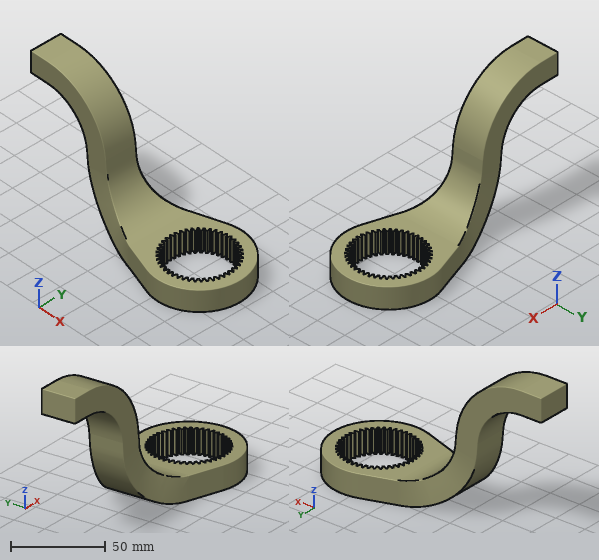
import cadquery as cq
import math

overall_length = 151.0
overall_height = 90.0
ring_diameter = 62.0
bar_width = 22.0
end_length = 13.7
bend_lean = 5.2
edge_rounding = 0.5
tooth_count = 44
module = 1.0
pressure_angle = math.radians(20)

flare_start = 10.0
flare_blend_end = 65.0
flare_end = 90.0

outer_radius = overall_height / 2
thickness = outer_radius / 3
inner_radius = 2 * thickness
middle_radius = outer_radius - thickness / 2
axis_height = outer_radius
axis_spacing = 2 * middle_radius / math.cos(math.radians(bend_lean))
upper_axis_x = end_length
lower_axis_x = upper_axis_x + axis_spacing

ring_radius = ring_diameter / 2
ring_x = overall_length - ring_radius
half_bar = bar_width / 2
flat_blend = middle_radius * math.radians(flare_blend_end - flare_start)
flat_taper = middle_radius * math.radians(flare_end - flare_blend_end)


def plate_half_width(taper):
    """Half width of the ring plate where it meets the bend."""
    return ring_radius / math.cos(taper) - (ring_x - lower_axis_x) * math.tan(taper)


def flared_half_width(taper):
    """Half width there when the flare grows from the bar along the unrolled bend."""
    return half_bar + flat_blend * math.tan(taper / 2) + flat_taper * math.tan(taper)


def matching_taper():
    """Taper angle at which the flare and the ring plate have the same width."""
    steepest = 40.0
    low = 0.0
    high = math.radians(steepest)
    halvings = 50
    for _ in range(halvings):
        middle = (low + high) / 2
        if flared_half_width(middle) < plate_half_width(middle):
            low = middle
        else:
            high = middle
    return low


taper = matching_taper()
blend_radius = flat_blend / math.sin(taper)
blend_half_width = half_bar + flat_blend * math.tan(taper / 2)


def polar(axis_x, radius, angle):
    """XZ point at an angle in degrees, counterclockwise from +X, about a bend axis."""
    a = math.radians(angle)
    return axis_x + radius * math.cos(a), axis_height + radius * math.sin(a)


def bend_sector(axis_x, start, end, half_width):
    """Piece of a bend between two angles, with a constant width."""
    mid = (start + end) / 2
    return (
        cq.Workplane("XZ")
        .moveTo(*polar(axis_x, inner_radius, start))
        .threePointArc(polar(axis_x, inner_radius, mid), polar(axis_x, inner_radius, end))
        .lineTo(*polar(axis_x, outer_radius, end))
        .threePointArc(polar(axis_x, outer_radius, mid), polar(axis_x, outer_radius, start))
        .close()
        .extrude(half_width, both=True)
    )


def blend_width(angle):
    """Half width in the blend, a circular arc on the unrolled bend."""
    run = middle_radius * math.radians(angle - flare_start)
    return half_bar + blend_radius - math.sqrt(blend_radius**2 - run**2)


def taper_width(angle):
    """Half width in the taper, a straight line on the unrolled bend."""
    return blend_half_width + middle_radius * math.radians(angle - flare_blend_end) * math.tan(taper)


def flare_sector(start, end, width_at):
    """Piece of the lower bend whose sides follow width_at along the bend."""
    steps = 12
    step_angle = (end - start) / steps
    overrun = 1.5
    step_numbers = range(-1, steps + 2)

    def side_edge(radius):
        """Edge of the trimming side at a constant distance from the bend axis."""
        points = []
        for step in step_numbers:
            angle = start + step * step_angle
            x, z = polar(lower_axis_x, radius, 180 + angle)
            points.append(cq.Vector(x, width_at(angle), z))
        return cq.Edge.makeSpline(points, parameters=step_numbers)

    side = cq.Face.makeRuledSurface(
        side_edge(inner_radius - overrun), side_edge(outer_radius + overrun)
    )
    blank = bend_sector(lower_axis_x, 180 + start, 180 + end, ring_radius)
    for trim in (side, side.mirror("XZ")):
        pieces = blank.val().split(trim).Solids()
        blank = cq.Workplane(min(pieces, key=lambda piece: abs(piece.Center().y)))
    return blank


def straight_end():
    """Straight end of the bar, at the top of the part."""
    return cq.Workplane("XY").box(
        end_length, bar_width, thickness, centered=(False, True, False)
    ).translate((0, 0, overall_height - thickness))


def web():
    """Straight piece between the bends, tangent to both."""
    return (
        cq.Workplane("XZ")
        .polyline([
            polar(upper_axis_x, inner_radius, bend_lean),
            polar(upper_axis_x, outer_radius, bend_lean),
            polar(lower_axis_x, inner_radius, 180 + bend_lean),
            polar(lower_axis_x, outer_radius, 180 + bend_lean),
        ])
        .close()
        .extrude(half_bar, both=True)
    )


def ring_plate():
    """Flat plate that tapers from the ring to the lower bend."""
    half_width = plate_half_width(taper)
    tangent_x = ring_x - ring_radius * math.sin(taper)
    tangent_y = ring_radius * math.cos(taper)
    return (
        cq.Workplane("XY")
        .moveTo(lower_axis_x, -half_width)
        .lineTo(tangent_x, -tangent_y)
        .threePointArc((overall_length, 0), (tangent_x, tangent_y))
        .lineTo(lower_axis_x, half_width)
        .close()
        .extrude(thickness)
    )


def toothed_bore():
    """Cutter for the internal involute teeth."""
    pitch_radius = module * tooth_count / 2
    tip_radius = pitch_radius - module
    dedendum = 1.25 * module
    root_radius = pitch_radius + dedendum
    base_radius = pitch_radius * math.cos(pressure_angle)

    def half_gap(radius):
        """Half the angle of a tooth gap at a radius."""
        roll = math.acos(base_radius / radius)
        involute = math.tan(roll) - roll
        pitch_involute = math.tan(pressure_angle) - pressure_angle
        return math.pi / (2 * tooth_count) + pitch_involute - involute

    def point(radius, angle):
        """XY point at an angle in radians about the bore axis."""
        return ring_x + radius * math.cos(angle), radius * math.sin(angle)

    pitch = 2 * math.pi / tooth_count
    outline = cq.Workplane("XY").moveTo(*point(tip_radius, -half_gap(tip_radius)))
    for i in range(tooth_count):
        gap = i * pitch
        next_gap = gap + pitch
        outline = (
            outline
            .threePointArc(
                point(pitch_radius, gap - half_gap(pitch_radius)),
                point(root_radius, gap - half_gap(root_radius)),
            )
            .threePointArc(
                point(root_radius, gap),
                point(root_radius, gap + half_gap(root_radius)),
            )
            .threePointArc(
                point(pitch_radius, gap + half_gap(pitch_radius)),
                point(tip_radius, gap + half_gap(tip_radius)),
            )
            .threePointArc(
                point(tip_radius, gap + pitch / 2),
                point(tip_radius, next_gap - half_gap(tip_radius)),
            )
        )
    return outline.close().extrude(thickness)


def is_outer_edge(edge):
    """True for corners of the part, False for seams where two faces run on smoothly."""
    tolerance = 0.002
    box = edge.BoundingBox()
    on_end_face = box.xmax < tolerance
    seam_across_bar = max(box.xlen, box.zlen) < tolerance
    seam_through_side = abs(edge.Length() - thickness) < tolerance
    return on_end_face or not (seam_across_bar or seam_through_side)


body = (
    straight_end()
    .union(bend_sector(upper_axis_x, bend_lean, 90, half_bar))
    .union(web())
    .union(bend_sector(lower_axis_x, 180 + bend_lean, 180 + flare_start, half_bar))
    .union(flare_sector(flare_start, flare_blend_end, blend_width))
    .union(flare_sector(flare_blend_end, flare_end, taper_width))
    .union(ring_plate())
)
outer_edges = [edge for edge in body.edges().vals() if is_outer_edge(edge)]
body = body.newObject(outer_edges).fillet(edge_rounding)
result = body.cut(toothed_bore())